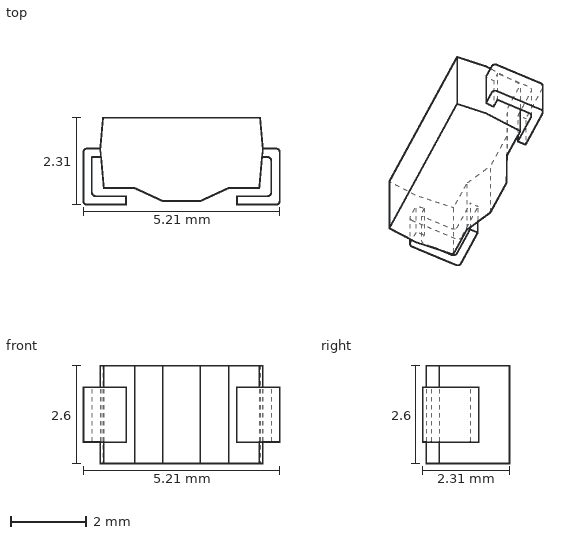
import cadquery as cq

overall_length = 5.21
overall_depth = 2.31
body_height = 2.6

back_half_width = 2.085
waist_half_width = 2.155
front_half_width = 2.065
belly_base_half_width = 1.245
belly_tip_half_width = 0.5
waist_level = 1.495
front_level = 0.44
belly_level = 0.095

lead_height = 1.46
lead_thickness = 0.23
lead_top_level = 1.49
foot_length = 1.135
bend_radius = 0.1


def make_body():
    right_side = [
        (back_half_width, overall_depth),
        (waist_half_width, waist_level),
        (front_half_width, front_level),
        (belly_base_half_width, front_level),
        (belly_tip_half_width, belly_level),
    ]
    left_side = [(-x, y) for x, y in reversed(right_side)]
    return (
        cq.Workplane("XY")
        .polyline(right_side + left_side)
        .close()
        .extrude(body_height / 2, both=True)
    )


def round_bends(lead, bends):
    for x, y in bends:
        bend_edge = cq.selectors.NearestToPointSelector((x, y, 0))
        lead = lead.edges("|Z").edges(bend_edge).fillet(bend_radius)
    return lead


def make_right_lead(round_upper_inner_bend):
    outer_x = overall_length / 2
    inner_x = outer_x - lead_thickness
    foot_end_x = outer_x - foot_length
    arm_underside = lead_top_level - lead_thickness
    arm_end_x = back_half_width - lead_thickness
    outline = [
        (arm_end_x, lead_top_level),
        (outer_x, lead_top_level),
        (outer_x, 0),
        (foot_end_x, 0),
        (foot_end_x, lead_thickness),
        (inner_x, lead_thickness),
        (inner_x, arm_underside),
        (arm_end_x, arm_underside),
    ]
    lead = cq.Workplane("XY").polyline(outline).close().extrude(lead_height / 2, both=True)
    bends = [(outer_x, lead_top_level), (outer_x, 0), (inner_x, lead_thickness)]
    if round_upper_inner_bend:
        bends.append((inner_x, arm_underside))
    return round_bends(lead, bends)


right_lead = make_right_lead(round_upper_inner_bend=True)
left_lead = make_right_lead(round_upper_inner_bend=False).mirror("YZ")
result = make_body().union(right_lead).union(left_lead)